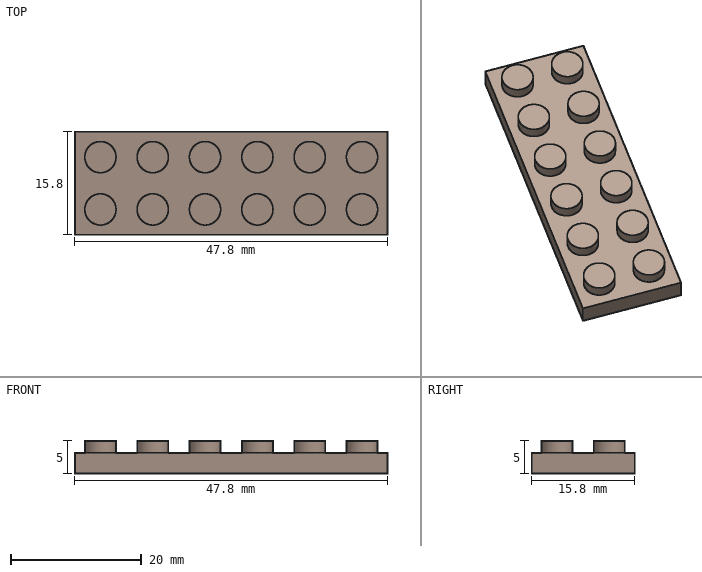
import cadquery as cq

length = 47.8
columns = 6
rows = 2
side_clearance = 0.2
total_height = 5.0
stud_height = 1.8
stud_diameter = 4.8

pitch = (length + side_clearance) / columns
width = rows * pitch - side_clearance
plate_height = total_height - stud_height


def make_plate():
    """Rectangular plate centred on the Z axis, resting on Z = 0."""
    return cq.Workplane("XY").box(length, width, plate_height, centered=(True, True, False))


def add_studs(plate):
    """Centred grid of round studs standing on the top face."""
    return (
        plate.faces(">Z")
        .workplane()
        .rarray(pitch, pitch, columns, rows)
        .circle(stud_diameter / 2)
        .extrude(stud_height)
    )


result = add_studs(make_plate())